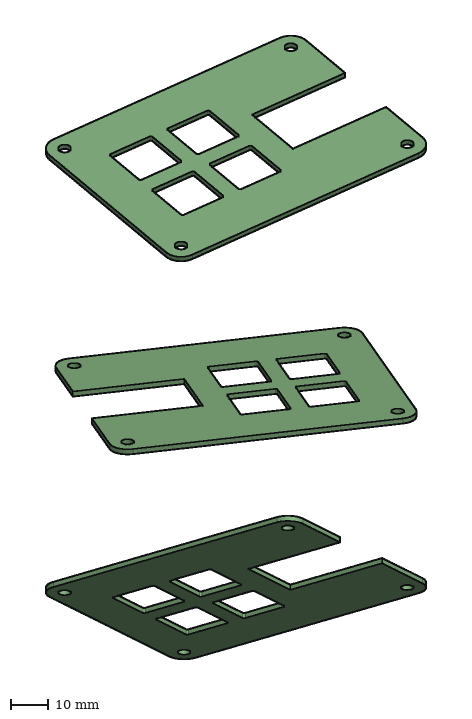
import cadquery as cq

plate_width = 62.85
plate_length = 85.3
plate_thickness = 1.5
corner_radius = 5.0

mount_hole_diameter = 3.4
mount_spacing_x = plate_width - 2 * corner_radius
mount_spacing_y = plate_length - 2 * corner_radius

notch_width = 18.5
notch_depth = 30.95
notch_center_x = 0.6

window_size = 14.0
window_pitch = 19.1
window_corner_radius = 0.5
window_grid_x = -0.6
window_grid_y = -13.05


def make_plate():
    return (
        cq.Workplane("XY")
        .box(plate_width, plate_length, plate_thickness, centered=(True, True, False))
        .edges("|Z")
        .fillet(corner_radius)
    )


def make_mount_holes():
    return (
        cq.Workplane("XY")
        .rect(mount_spacing_x, mount_spacing_y, forConstruction=True)
        .vertices()
        .circle(mount_hole_diameter / 2)
        .extrude(plate_thickness)
    )


def make_notch():
    notch_center_y = (plate_length - notch_depth) / 2
    return (
        cq.Workplane("XY")
        .center(notch_center_x, notch_center_y)
        .rect(notch_width, notch_depth)
        .extrude(plate_thickness)
    )


def make_windows():
    return (
        cq.Workplane("XY")
        .center(window_grid_x, window_grid_y)
        .rarray(window_pitch, window_pitch, 2, 2)
        .rect(window_size, window_size)
        .extrude(plate_thickness)
        .edges("|Z")
        .fillet(window_corner_radius)
    )


result = make_plate().cut(make_mount_holes()).cut(make_notch()).cut(make_windows())